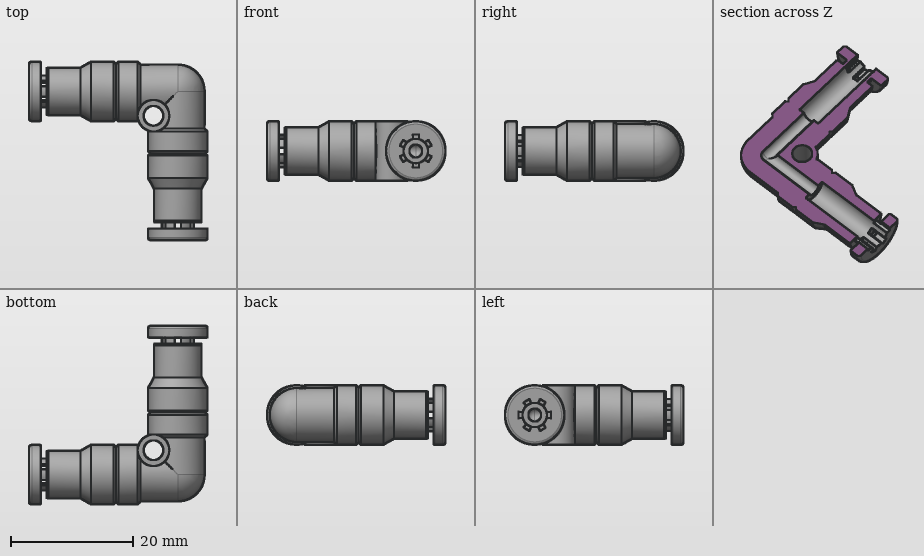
import cadquery as cq

length = 29.3
sleeve_diameter = 9.8
sleeve_radius = sleeve_diameter / 2
arm_length = length - sleeve_radius

flange_thickness = 2.0
flange_front_fillet = 0.5
flange_back_fillet = 0.23
collet_radius = 2.7
slot_width = 1.0
slot_count = 6

body_start = 2.9
nose_radius = 7.85 / 2
nose_chamfer_length = 0.32
nose_chamfer_depth = 0.12
cone_start = 8.47
cone_end = 10.2
groove_station = 14.27
groove_depth = 0.38
shoulder_chamfer_start = 17.85
elbow_radius = 4.42
shoulder_end = shoulder_chamfer_start + sleeve_radius - elbow_radius

tube_bore_radius = 4.0 / 2
tube_stop = groove_station
inner_bore_radius = 2.1 / 2

post_radius = 5.2 / 2
post_hole_diameter = 3.2
post_offset = 3.98


def rod(radius, start, end):
    """Cylinder on an upright arm, spanning two stations from the mouth."""
    return cq.Workplane("XY").workplane(offset=start).circle(radius).extrude(end - start)


def arm_blank():
    """Solid turned arm with its mouth at Z = 0 and the elbow centre above it."""
    profile = [
        (0, 0),
        (collet_radius, 0),
        (collet_radius, body_start),
        (nose_radius - nose_chamfer_depth, body_start),
        (nose_radius, body_start + nose_chamfer_length),
        (nose_radius, cone_start),
        (sleeve_radius, cone_end),
        (sleeve_radius, groove_station - groove_depth),
        (sleeve_radius - groove_depth, groove_station),
        (sleeve_radius, groove_station + groove_depth),
        (sleeve_radius, shoulder_chamfer_start),
        (elbow_radius, shoulder_end),
        (elbow_radius, arm_length),
        (0, arm_length),
    ]
    blank = cq.Workplane("XZ").polyline(profile).close().revolve(360, (0, 0), (0, 1))
    flange = rod(sleeve_radius, 0, flange_thickness)
    flange = flange.faces("<Z").edges().fillet(flange_front_fillet)
    flange = flange.faces(">Z").edges().fillet(flange_back_fillet)
    return blank.union(flange)


def arm_passage():
    """Stepped bore and the radial collet slots of one upright arm."""
    passage = rod(tube_bore_radius, 0, tube_stop).union(rod(inner_bore_radius, 0, arm_length))
    slot = cq.Workplane("XY").rect(2 * collet_radius, slot_width).extrude(body_start)
    for i in range(slot_count // 2):
        passage = passage.union(slot.rotate((0, 0, 0), (0, 0, 1), i * 360 / slot_count))
    return passage


def along_y(upright):
    """Lay an upright arm along -Y, with two of its slots facing up and down."""
    turned = upright.rotate((0, 0, 0), (0, 0, 1), 90)
    return turned.rotate((0, 0, 0), (1, 0, 0), -90).translate((0, -arm_length, 0))


def along_x(upright):
    """Lay an upright arm along -X, with two of its slots facing sideways."""
    turned = upright.rotate((0, 0, 0), (0, 0, 1), 90)
    return turned.rotate((0, 0, 0), (0, 1, 0), 90).translate((-arm_length, 0, 0))


def elbow(upright, corner_radius):
    """Join two copies of an arm with a ball at the corner."""
    corner = cq.Workplane("XY").sphere(corner_radius)
    return along_x(upright).union(along_y(upright)).union(corner)


def post_cylinder(radius):
    """Vertical cylinder on the mounting post axis, as tall as the fitting."""
    base = cq.Workplane("XY").center(-post_offset, -post_offset)
    return base.circle(radius).extrude(sleeve_radius, both=True)


outside = elbow(arm_blank(), elbow_radius).union(post_cylinder(post_radius))
inside = elbow(arm_passage(), inner_bore_radius)
result = outside.cut(inside).cut(post_cylinder(post_hole_diameter / 2))